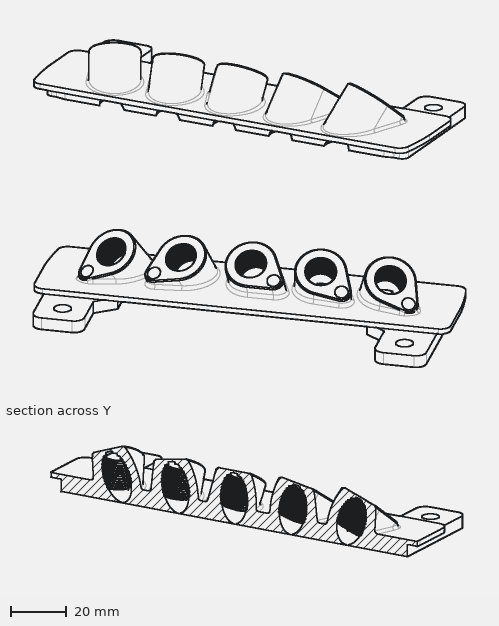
import cadquery as cq
import math

plate_length = 154.0
plate_depth = 37.0
plate_front_length = 149.7
plate_straight_side = 20.0
plate_side_bow = 0.3
plate_thickness = 2.0
plate_corner_radius = 3.8

base_height = 4.6
base_length = 145.4
base_front = -31.4
bar_back = -18.8
base_corner_radius = 2.5
end_step_depth = 0.8
end_step_outer_x = 68.0
end_step_inner_x = 64.4
plate_top = base_height + plate_thickness

tab_reach = 19.9
tab_width = 19.0
tab_corner_radius = 3.8
tab_hole_diameter = 6.3
tab_hole_y = 10.3
gusset_reach = 2.2
gusset_width = 7.7
gusset_depth = 5.4

socket_lean = 35.0
socket_fan_step = 10.0
pivot_spacing = 23.7
pivot_y = -25.1
socket_length = 15.0
socket_radius = 9.4
lobe_radius = 3.5
lobe_offset_x = 9.5
lobe_offset_y = socket_radius - lobe_radius
rim_chamfer = 0.5
foot_fillet = 1.0
overlap_length = 23.1

foot_zone_length = 138.6
foot_zone_depth = 35.4
foot_zone_height = 0.03

bore_diameter = 10.6
bore_length = 61.6
thread_diameter = 11.4
thread_pitch = 1.0
thread_turns = 12
lobe_hole_diameter = 4.8
lobe_hole_depth = 9.2

socket_indices = range(-2, 3)


def build_plate():
    half = plate_length / 2
    half_front = plate_front_length / 2
    bow_x = (half + half_front) / 2 + plate_side_bow
    bow_y = (plate_straight_side + plate_depth) / 2
    plate = (
        cq.Workplane("XY", origin=(0, 0, base_height))
        .moveTo(-half, 0)
        .lineTo(half, 0)
        .lineTo(half, -plate_straight_side)
        .threePointArc((bow_x, -bow_y), (half_front, -plate_depth))
        .lineTo(-half_front, -plate_depth)
        .threePointArc((-bow_x, -bow_y), (-half, -plate_straight_side))
        .close()
        .extrude(plate_thickness)
    )
    return plate.edges("|Z").edges(">Y or <Y").fillet(plate_corner_radius)


def build_base():
    half = base_length / 2
    tab_inner = half - tab_width
    arm_inner = tab_inner - gusset_width
    step_y = base_front + end_step_depth
    right = [
        (end_step_inner_x, base_front),
        (end_step_outer_x, step_y),
        (half, step_y),
        (half, tab_reach),
        (tab_inner, tab_reach),
        (tab_inner, gusset_reach),
        (arm_inner, gusset_reach - gusset_depth),
        (arm_inner, bar_back),
    ]
    left = [(-x, y) for x, y in reversed(right)]
    base = cq.Workplane("XY").polyline(right + left).close().extrude(base_height)
    base = base.edges("|Z").edges(">Y").fillet(tab_corner_radius)
    for side in (-1, 1):
        corner = cq.selectors.NearestToPointSelector((side * half, step_y, base_height / 2))
        base = base.edges(corner).fillet(base_corner_radius)
    hole_x = half - tab_width / 2
    return (
        base.faces(">Z")
        .workplane(origin=(0, 0, base_height))
        .pushPoints([(-hole_x, tab_hole_y), (hole_x, tab_hole_y)])
        .hole(tab_hole_diameter)
    )


def socket_plane(index):
    """Plane of a socket's sloping face, with its normal pointing out along the bore."""
    lean = math.radians(socket_lean)
    fan = math.radians(socket_fan_step * index)
    normal = cq.Vector(
        math.cos(lean) * math.sin(fan),
        math.sin(lean),
        math.cos(lean) * math.cos(fan),
    )
    across = cq.Vector(math.cos(fan), 0, -math.sin(fan))
    pivot = cq.Vector(index * pivot_spacing, pivot_y, base_height)
    return cq.Plane(origin=pivot + normal * socket_length, xDir=across, normal=normal)


def lobe_center(index):
    """The lobe points left on the left and middle sockets, right on the others."""
    side = 1 if index > 0 else -1
    return side * lobe_offset_x, lobe_offset_y


def build_socket(index):
    lobe_x, lobe_y = lobe_center(index)
    toward_lobe = math.atan2(lobe_y, lobe_x)
    spread = math.acos((socket_radius - lobe_radius) / math.hypot(lobe_x, lobe_y))

    def on_body(angle):
        return socket_radius * math.cos(angle), socket_radius * math.sin(angle)

    def on_lobe(angle):
        return lobe_x + lobe_radius * math.cos(angle), lobe_y + lobe_radius * math.sin(angle)

    socket = (
        cq.Workplane(socket_plane(index))
        .moveTo(*on_body(toward_lobe + spread))
        .threePointArc(on_body(toward_lobe + math.pi), on_body(toward_lobe - spread))
        .lineTo(*on_lobe(toward_lobe - spread))
        .threePointArc(on_lobe(toward_lobe), on_lobe(toward_lobe + spread))
        .close()
        .extrude(-socket_length - overlap_length)
    )
    face = cq.selectors.NearestToPointSelector(socket_plane(index).origin.toTuple())
    socket = socket.faces(face).chamfer(rim_chamfer)
    above_plate_underside = cq.Workplane("XY", origin=(0, 0, base_height)).box(
        2 * plate_length, 2 * plate_length, plate_length, centered=(True, True, False)
    )
    return socket.intersect(above_plate_underside)


def build_thread(plane):
    """Ring grooves of a V profile that stand in for the thread at the mouth of a bore."""
    crest = bore_diameter / 2
    root = thread_diameter / 2
    profile = [(0, 0)]
    for turn in range(thread_turns):
        groove_start = -turn * thread_pitch
        profile.append((root, groove_start))
        profile.append((crest, groove_start - thread_pitch / 2))
    profile.append((0, profile[-1][1]))
    axial_plane = cq.Plane(origin=plane.origin, xDir=plane.xDir, normal=-plane.yDir)
    return cq.Workplane(axial_plane).polyline(profile).close().revolve(360, (0, 0), (0, 1))


def build_socket_holes(index):
    """Through bore with its thread, and the blind hole in the lobe."""
    plane = socket_plane(index)
    bore = cq.Workplane(plane).circle(bore_diameter / 2).extrude(-bore_length)
    lobe_hole = (
        cq.Workplane(plane)
        .center(*lobe_center(index))
        .circle(lobe_hole_diameter / 2)
        .extrude(-lobe_hole_depth)
    )
    return bore.union(build_thread(plane)).union(lobe_hole)


def fillet_socket_feet(cover):
    """Round the joints where the sockets meet the plate's top face."""
    half_x = foot_zone_length / 2
    half_y = foot_zone_depth / 2
    half_z = foot_zone_height / 2
    middle_y = -plate_depth / 2
    joints = cq.selectors.BoxSelector(
        (-half_x, middle_y - half_y, plate_top - half_z),
        (half_x, middle_y + half_y, plate_top + half_z),
    )
    return cover.edges(joints).fillet(foot_fillet)


cover = build_plate()
for index in socket_indices:
    cover = cover.union(build_socket(index))
result = fillet_socket_feet(cover).union(build_base())
for index in socket_indices:
    result = result.cut(build_socket_holes(index))